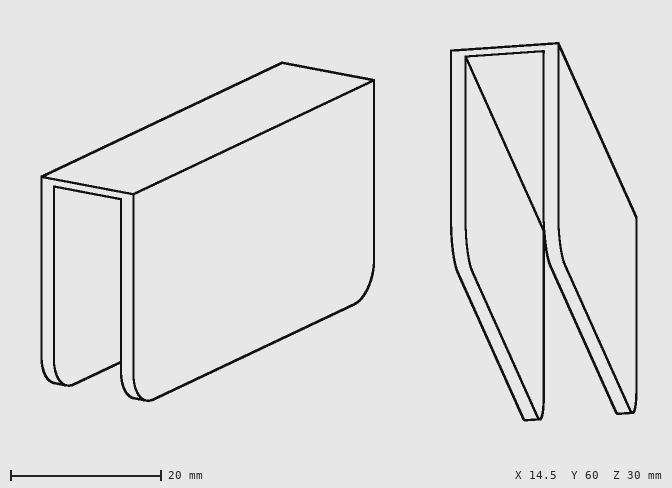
import cadquery as cq

width = 14.5
length = 60.0
height = 30.0

side_thickness = 2.0
top_thickness = 1.0
corner_radius = 5.0

body = (
    cq.Workplane("XY")
    .box(width, length, height, centered=(True, True, False))
    .edges("|X and <Z")
    .fillet(corner_radius)
)

channel = cq.Workplane("XY").box(
    width - 2 * side_thickness,
    length,
    height - top_thickness,
    centered=(True, True, False),
)

result = body.cut(channel)